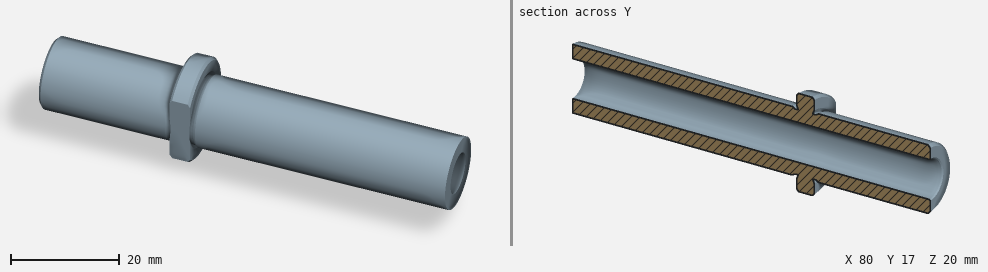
import cadquery as cq

length = 80.0
tube_diameter = 14.0
bore_diameter = 8.0
end_chamfer = 0.6
bore_chamfer = 0.2

collar_diameter = 20.0
collar_start = 25.9
collar_width = 4.0
collar_chamfer = 0.5

groove_diameter = 13.3
groove_floor = 0.3
groove_taper = 0.6

undercut_diameter = 14.8
undercut_depth = 0.3

tube_radius = tube_diameter / 2
bore_radius = bore_diameter / 2
collar_radius = collar_diameter / 2
groove_radius = groove_diameter / 2
undercut_radius = undercut_diameter / 2
collar_end = collar_start + collar_width


def turned_body():
    """Stepped tube with a collar and an undercut relief groove on each side of it."""
    groove_length = groove_floor + groove_taper
    profile = [
        (bore_chamfer, bore_radius),
        (0, bore_radius + bore_chamfer),
        (0, tube_radius - end_chamfer),
        (end_chamfer, tube_radius),
        (collar_start - groove_length, tube_radius),
        (collar_start - groove_floor, groove_radius),
        (collar_start + undercut_depth, groove_radius),
        (collar_start, undercut_radius),
        (collar_start, collar_radius - collar_chamfer),
        (collar_start + collar_chamfer, collar_radius),
        (collar_end - collar_chamfer, collar_radius),
        (collar_end, collar_radius - collar_chamfer),
        (collar_end, undercut_radius),
        (collar_end - undercut_depth, groove_radius),
        (collar_end + groove_floor, groove_radius),
        (collar_end + groove_length, tube_radius),
        (length, tube_radius),
        (length, bore_radius),
    ]
    return cq.Workplane("XY").polyline(profile).close().revolve(360, (0, 0, 0), (1, 0, 0))


def collar_flat_cutter():
    """Block that trims the -Y side of the collar level with the tube surface."""
    depth = collar_radius - tube_radius
    return (
        cq.Workplane("XY")
        .box(collar_width, depth, collar_diameter, centered=(False, False, True))
        .translate((collar_start, -collar_radius, 0))
    )


result = turned_body().cut(collar_flat_cutter())